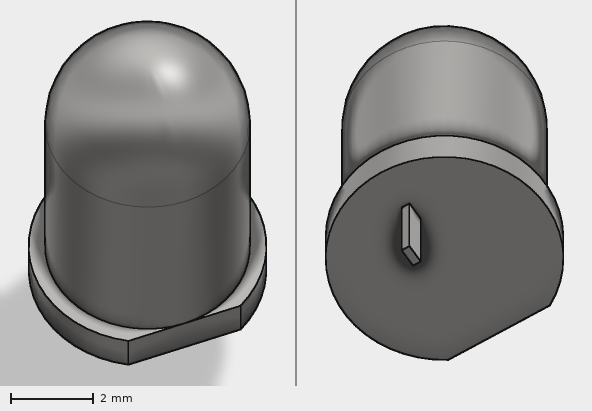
import cadquery as cq

total_height = 10.6
lens_diameter = 5.0
lens_radius = lens_diameter / 2

flange_diameter = 5.8
flange_thickness = 1.0
flat_x = lens_radius

lead_length = 2.0
lead_width = 0.52
lead_thickness = 0.22
lead_x = -1.53

dome_base_z = total_height - lead_length - lens_radius


def make_lens():
    """Revolve the lens half-profile about the Z axis."""
    arc_reach = lens_radius * 0.5**0.5
    return (
        cq.Workplane("XZ")
        .lineTo(lens_radius, 0)
        .lineTo(lens_radius, dome_base_z)
        .threePointArc((arc_reach, dome_base_z + arc_reach), (0, dome_base_z + lens_radius))
        .close()
        .revolve(360, (0, 0, 0), (0, 1, 0))
    )


def make_flange():
    """Disc trimmed to the flat at flat_x."""
    disc = cq.Workplane("XY").circle(flange_diameter / 2).extrude(flange_thickness)
    trim = (
        cq.Workplane("XY")
        .center(flat_x, 0)
        .rect(2 * flange_diameter, 2 * flange_diameter)
        .extrude(flange_thickness)
        .translate((-flange_diameter, 0, 0))
    )
    return disc.intersect(trim)


def make_lead():
    """Straight lead hanging from the underside of the flange."""
    return (
        cq.Workplane("XY")
        .center(lead_x, 0)
        .rect(lead_width, lead_thickness)
        .extrude(-lead_length)
    )


result = make_flange().union(make_lens()).union(make_lead())